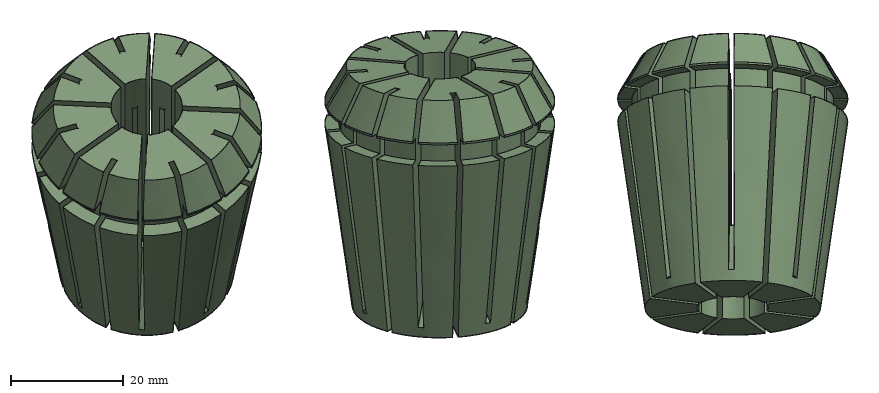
import cadquery as cq
import math

height = 46.0
max_diameter = 41.0
bore_radius = 6.35

taper_angle = 7.9
taper_height = 34.9

groove_height = 4.1
groove_radius = 18.0
rim_height = 0.35
nose_angle = 30.0

slots_per_set = 8
slot_width = 1.0
blade_radius = 36.8
top_slot_bore_end = 13.45
top_slot_outer_end = 1.95
bottom_slot_bore_end = 38.0
bottom_slot_face_radius = 13.25
clearance = 2.3

max_radius = max_diameter / 2
slot_pitch = 360.0 / slots_per_set
groove_top = taper_height + groove_height
nose_base = groove_top + rim_height
taper_slope = math.tan(math.radians(taper_angle))
bottom_radius = max_radius - taper_height * taper_slope
top_radius = max_radius - (height - nose_base) * math.tan(math.radians(nose_angle))
top_slot_outer_radius = bottom_radius + top_slot_outer_end * taper_slope
cutter_radius = max_radius + clearance


def make_body():
    """Revolve the half section between the bore and the outer outline."""
    half_section = [
        (bore_radius, 0),
        (bottom_radius, 0),
        (max_radius, taper_height),
        (groove_radius, taper_height),
        (groove_radius, groove_top),
        (max_radius, groove_top),
        (max_radius, nose_base),
        (top_radius, height),
        (bore_radius, height),
    ]
    return cq.Workplane("XZ").polyline(half_section).close().revolve(360, (0, 0), (0, 1))


def slot_cutter(bore_end, outer_radius, outer_end, open_end):
    """One radial slot along +X: a blade arc from bore to outside, open at height open_end."""
    half_chord_x = (outer_radius - bore_radius) / 2
    half_chord_z = (outer_end - bore_end) / 2
    half_chord = math.hypot(half_chord_x, half_chord_z)
    bulge = blade_radius - math.sqrt(blade_radius**2 - half_chord**2)
    side = math.copysign(1, outer_end - bore_end)
    arc_middle = (
        bore_radius + half_chord_x - bulge * abs(half_chord_z) / half_chord,
        bore_end + half_chord_z + side * bulge * half_chord_x / half_chord,
    )
    return (
        cq.Workplane("XZ")
        .moveTo(0, open_end)
        .lineTo(0, bore_end)
        .lineTo(bore_radius, bore_end)
        .threePointArc(arc_middle, (outer_radius, outer_end))
        .lineTo(cutter_radius, outer_end)
        .lineTo(cutter_radius, open_end)
        .close()
        .extrude(slot_width / 2, both=True)
    )


def cut_slots(body, cutter, first_angle):
    """Cut one evenly spaced set of slots around the axis."""
    for index in range(slots_per_set):
        angle = first_angle + index * slot_pitch
        body = body.cut(cutter.rotate((0, 0, 0), (0, 0, 1), angle))
    return body


top_slot = slot_cutter(
    top_slot_bore_end, top_slot_outer_radius, top_slot_outer_end, height + clearance
)
bottom_slot = slot_cutter(
    bottom_slot_bore_end, bottom_slot_face_radius, height, -clearance
)

result = make_body()
result = cut_slots(result, top_slot, 0)
result = cut_slots(result, bottom_slot, slot_pitch / 2)